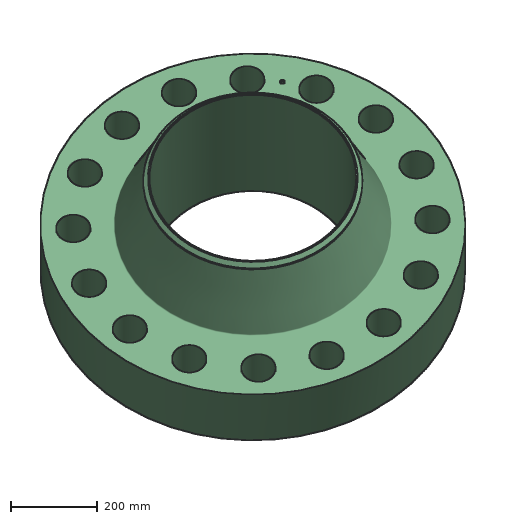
import cadquery as cq
import math

flange_diameter = 984.0
flange_thickness = 178.0
raised_face_diameter = 673.0
raised_face_height = 16.0

overall_height = 373.0
hub_base_diameter = 642.0
hub_base_fillet = 3.0
weld_diameter = 508.0
weld_land_height = 5.0
weld_bevel_height = 10.0
weld_tip_diameter = 486.0
bore_diameter = 478.0

bolt_count = 16
bolt_circle_diameter = 831.0
bolt_hole_diameter = 80.0
small_hole_mouth_diameter = 12.0
small_hole_diameter = 8.0
small_hole_depth = 20.0
small_hole_tip_height = 2.0

flange_bottom = raised_face_height
flange_top = flange_bottom + flange_thickness
bevel_bottom = overall_height - weld_bevel_height
land_bottom = bevel_bottom - weld_land_height

bolt_pitch_angle = 360.0 / bolt_count
small_hole_angle = 90.0 + bolt_pitch_angle / 2


def make_body():
    """Revolve the half section of disc, raised face and neck around Z."""
    half_section = (
        cq.Workplane("XZ")
        .moveTo(bore_diameter / 2, 0)
        .lineTo(raised_face_diameter / 2, 0)
        .lineTo(raised_face_diameter / 2, flange_bottom)
        .lineTo(flange_diameter / 2, flange_bottom)
        .lineTo(flange_diameter / 2, flange_top)
        .lineTo(hub_base_diameter / 2, flange_top)
        .lineTo(weld_diameter / 2, land_bottom)
        .lineTo(weld_diameter / 2, bevel_bottom)
        .lineTo(weld_tip_diameter / 2, overall_height)
        .lineTo(bore_diameter / 2, overall_height)
        .close()
    )
    body = half_section.revolve(360, (0, 0, 0), (0, 1, 0))

    on_flange_top = cq.selectors.BoxSelector(
        (-hub_base_diameter, -hub_base_diameter, flange_top - hub_base_fillet),
        (hub_base_diameter, hub_base_diameter, flange_top + hub_base_fillet),
    )
    hub_base_edge = body.edges(on_flange_top).edges(cq.selectors.RadiusNthSelector(0))
    return hub_base_edge.fillet(hub_base_fillet)


def point_on_bolt_circle(angle):
    """Centre of a hole on the flange top, at an angle in degrees from +X."""
    radius = bolt_circle_diameter / 2
    angle = math.radians(angle)
    return (radius * math.cos(angle), radius * math.sin(angle), flange_top)


def make_bolt_holes():
    """Plain holes through the disc, evenly spaced on the bolt circle."""
    angles = [index * bolt_pitch_angle for index in range(bolt_count)]
    return (
        cq.Workplane("XY")
        .pushPoints([point_on_bolt_circle(angle) for angle in angles])
        .circle(bolt_hole_diameter / 2)
        .extrude(-flange_thickness)
    )


def make_small_hole():
    """Blind drilled hole with a 45 degree chamfered mouth and a conical bottom."""
    mouth_radius = small_hole_mouth_diameter / 2
    hole_radius = small_hole_diameter / 2
    half_section = (
        cq.Workplane("XZ")
        .lineTo(mouth_radius, 0)
        .lineTo(hole_radius, hole_radius - mouth_radius)
        .lineTo(hole_radius, -small_hole_depth)
        .lineTo(0, -small_hole_depth - small_hole_tip_height)
        .close()
    )
    hole = half_section.revolve(360, (0, 0, 0), (0, 1, 0))
    return hole.translate(point_on_bolt_circle(small_hole_angle))


result = make_body().cut(make_bolt_holes()).cut(make_small_hole())